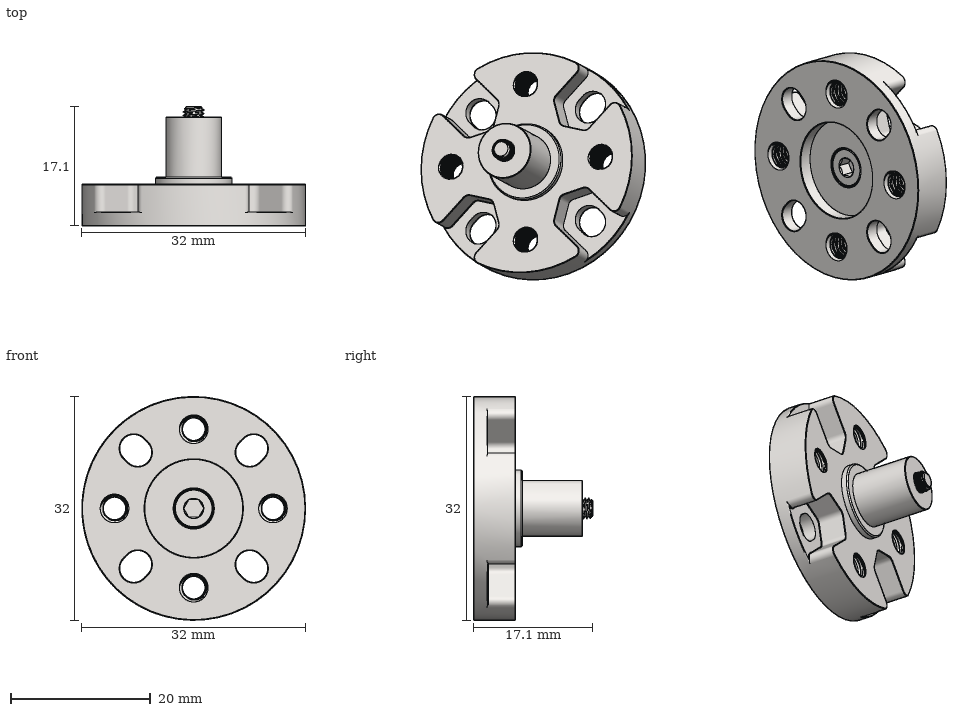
import cadquery as cq
import math

DISC_DIAMETER = 32
DISC_THICKNESS = 6.0
COLLAR_DIAMETER = 11.0
COLLAR_END = 7.0
BOSS_DIAMETER = 8
BOSS_END = 15.6
EDGE_CHAMFER = 0.1
COLLAR_CHAMFER = 0.2
POCKET_DIAMETER = 14.0
POCKET_DEPTH = 2.0

HEAD_DIAMETER = 5.5
HEAD_HEIGHT = 3.0
HEAD_FRONT = 2.1
HEAD_CHAMFER = 0.13
SHANK_DIAMETER = 3.0
SCREW_THREAD_CORE = 2.35
SCREW_THREAD_PITCH = 0.5
SCREW_THREAD_LENGTH = SHANK_DIAMETER
SCREW_THREAD_PHASE = 20
SCREW_END = 17.1
SCREW_TIP_DIAMETER = 2.08
SOCKET_ACROSS_FLATS = 2.5
SOCKET_DEPTH = 2.0
HEAD_SEAT = HEAD_FRONT + HEAD_HEIGHT
COUNTERBORE_DIAMETER = 5.7
SCREW_BORE_DIAMETER = 3.05

TAPPED_RADIUS = 11.33
TAPPED_CORE = 3.3
TAPPED_DIAMETER = 4.0
TAPPED_PITCH = 0.7
TAPPED_PHASE = 0
COUNTERSINK_DIAMETER = 4.1

SLOT_WIDTH = 4.0
SLOT_TRAVEL = 0.8
SLOT_RADIUS = TAPPED_RADIUS + SLOT_TRAVEL / 2
NOTCH_FLOOR = 2.0
NUT_RADIUS = TAPPED_RADIUS
NUT_ACROSS_FLATS = 7.0
NOTCH_ROUNDING = 1.0

DISC_RADIUS = DISC_DIAMETER / 2
AXIS_ANGLES = [0, 90, 180, 270]
DIAGONAL_ANGLES = [45, 135, 225, 315]
CLEARANCE = 0.32
THREAD_FLANK_SLOPE = math.tan(math.radians(30))
FLANK_STEPS = 4


def turned(outline):
    """Revolve an outline of (radius, y) points around the Y axis."""
    return cq.Workplane("XY").polyline(outline).close().revolve(360, (0, 0, 0), (0, 1, 0))


def along_y(shape):
    """Turn a shape built along +Z so that it runs along +Y."""
    return shape.rotate((0, 0, 0), (1, 0, 0), -90)


def threaded_rod(core_diameter, outer_diameter, pitch, length, phase):
    """Right-hand sharp-crested threaded rod along +Y from y = 0: its cross-section, twisted."""
    core = core_diameter / 2
    depth = outer_diameter / 2 - core
    flank_angle = 2 * math.pi * depth * THREAD_FLANK_SLOPE / pitch

    def flank_point(rise, side):
        """Point on a flank, `rise` going from 0 at the core to 1 at the crest."""
        radius = core + depth * rise
        angle = side * flank_angle * (1 - rise)
        return radius * math.cos(angle), radius * math.sin(angle)

    rises = [step / FLANK_STEPS for step in range(FLANK_STEPS + 1)]
    rising_flank = [flank_point(rise, -1) for rise in rises]
    falling_flank = [flank_point(rise, 1) for rise in reversed(rises)]
    rod = (
        cq.Workplane("XY")
        .moveTo(*falling_flank[-1])
        .threePointArc((-core, 0), rising_flank[0])
        .spline(rising_flank[1:], includeCurrent=True)
        .spline(falling_flank[1:], includeCurrent=True)
        .close()
        .twistExtrude(length, 360 * length / pitch)
    )
    return along_y(rod.rotate((0, 0, 0), (0, 0, 1), phase))


def hub_blank():
    """Disc, collar and boss with the front pocket, the head counterbore and the screw bore."""
    disc = DISC_RADIUS
    collar = COLLAR_DIAMETER / 2
    boss = BOSS_DIAMETER / 2
    pocket = POCKET_DIAMETER / 2
    counterbore = COUNTERBORE_DIAMETER / 2
    bore = SCREW_BORE_DIAMETER / 2
    return turned([
        (pocket + EDGE_CHAMFER, 0),
        (disc - EDGE_CHAMFER, 0),
        (disc, EDGE_CHAMFER),
        (disc, DISC_THICKNESS),
        (collar, DISC_THICKNESS),
        (collar, COLLAR_END - COLLAR_CHAMFER),
        (collar - COLLAR_CHAMFER, COLLAR_END),
        (boss, COLLAR_END),
        (boss, BOSS_END - EDGE_CHAMFER),
        (boss - EDGE_CHAMFER, BOSS_END),
        (bore, BOSS_END),
        (bore, HEAD_SEAT),
        (counterbore, HEAD_SEAT),
        (counterbore, POCKET_DEPTH + EDGE_CHAMFER),
        (counterbore + EDGE_CHAMFER, POCKET_DEPTH),
        (pocket, POCKET_DEPTH),
        (pocket, EDGE_CHAMFER),
    ])


def notch_floor_space():
    """Space behind the notch floor, with the floor chamfered where it meets the rim."""
    outside = DISC_RADIUS + 2 * CLEARANCE
    inside = DISC_RADIUS - EDGE_CHAMFER
    back = DISC_THICKNESS + CLEARANCE
    return turned([
        (0, NOTCH_FLOOR),
        (inside, NOTCH_FLOOR),
        (outside, NOTCH_FLOOR - (outside - inside)),
        (outside, back),
        (0, back),
    ])


def notch_cutter():
    """Rim notch on the +X side that holds a hexagon nut, one nut corner pointing inwards.

    The three inner corners are rounded, and the walls run out into the rim through round lips.
    """
    wall = NUT_ACROSS_FLATS / 2
    nut_side = NUT_ACROSS_FLATS / math.sqrt(3)
    apex_u = NUT_RADIUS - nut_side
    corner_u = NUT_RADIUS - nut_side / 2
    lip_v = wall + NOTCH_ROUNDING
    lip_u = math.sqrt((DISC_RADIUS - NOTCH_ROUNDING) ** 2 - lip_v**2)
    lip_angle = math.atan2(lip_v, lip_u)
    rim_u = DISC_RADIUS * math.cos(lip_angle)
    rim_v = DISC_RADIUS * math.sin(lip_angle)
    lip_mid_angle = (lip_angle - math.pi / 2) / 2
    lip_mid_u = lip_u + NOTCH_ROUNDING * math.cos(lip_mid_angle)
    lip_mid_v = lip_v + NOTCH_ROUNDING * math.sin(lip_mid_angle)
    outside = DISC_RADIUS + CLEARANCE
    notch = (
        cq.Workplane("XZ")
        .moveTo(rim_u, -rim_v)
        .threePointArc((lip_mid_u, -lip_mid_v), (lip_u, -wall))
        .lineTo(corner_u, -wall)
        .lineTo(apex_u, 0)
        .lineTo(corner_u, wall)
        .lineTo(lip_u, wall)
        .threePointArc((lip_mid_u, lip_mid_v), (rim_u, rim_v))
        .lineTo(outside, rim_v)
        .lineTo(outside, -rim_v)
        .close()
        .extrude(-(DISC_THICKNESS + CLEARANCE))
    )
    inner_corners = notch.edges("|Y").filter(lambda edge: edge.Center().x < NUT_RADIUS)
    return inner_corners.fillet(NOTCH_ROUNDING).intersect(notch_floor_space())


def slot_cutter():
    """Radial slot on the +X side, through the notch floor, chamfered at the front face."""
    front = cq.Workplane("XZ").center(SLOT_RADIUS, 0)
    slot = front.slot2D(SLOT_WIDTH + SLOT_TRAVEL, SLOT_WIDTH).extrude(-(NOTCH_FLOOR + CLEARANCE))
    mouth_width = SLOT_WIDTH + 2 * EDGE_CHAMFER
    mouth = (
        front.slot2D(mouth_width + SLOT_TRAVEL, mouth_width)
        .extrude(-EDGE_CHAMFER, taper=45)
    )
    return slot.union(mouth)


def tapped_hole_cutter():
    """Thread of a tapped through hole around the Y axis."""
    length = DISC_THICKNESS + 2 * CLEARANCE
    rod = threaded_rod(TAPPED_CORE, TAPPED_DIAMETER, TAPPED_PITCH, length, TAPPED_PHASE)
    return rod.translate((0, -CLEARANCE, 0))


def countersink_cutter():
    """45 degree countersink around the Y axis at the front face."""
    sink = COUNTERSINK_DIAMETER / 2
    return turned([(0, 0), (sink, 0), (0, sink)])


def at_polar(shape, radius, angle):
    """Move a shape in the XZ plane without turning it."""
    turn = math.radians(angle)
    return shape.translate((radius * math.cos(turn), 0, radius * math.sin(turn)))


def make_hub():
    hub = hub_blank()
    notch = notch_cutter()
    for angle in DIAGONAL_ANGLES:
        hub = hub.cut(notch.rotate((0, 0, 0), (0, 1, 0), angle))
    hub = hub.faces(cq.selectors.NearestToPointSelector((TAPPED_RADIUS, DISC_THICKNESS, 0)))
    hub = hub.wires(cq.selectors.LengthNthSelector(-1)).chamfer(EDGE_CHAMFER)
    slot = slot_cutter()
    for angle in DIAGONAL_ANGLES:
        hub = hub.cut(slot.rotate((0, 0, 0), (0, 1, 0), angle))
    tapped_hole = tapped_hole_cutter()
    countersink = countersink_cutter()
    for angle in AXIS_ANGLES:
        hub = hub.cut(at_polar(tapped_hole, TAPPED_RADIUS, angle))
        hub = hub.cut(at_polar(countersink, TAPPED_RADIUS, angle))
    return hub


def socket_cutter():
    """Hexagon socket with a countersunk mouth that reaches its corners."""
    flat = SOCKET_ACROSS_FLATS / 2
    corner = flat / math.cos(math.radians(30))
    mouth_depth = corner - flat
    hexagon = cq.Workplane("XZ", origin=(0, HEAD_FRONT, 0)).polygon(6, 2 * corner).extrude(-SOCKET_DEPTH)
    mouth = turned([
        (0, HEAD_FRONT),
        (corner, HEAD_FRONT),
        (flat, HEAD_FRONT + mouth_depth),
        (0, HEAD_FRONT + mouth_depth),
    ])
    return hexagon.union(mouth)


def screw_thread():
    """Threaded end of the screw, trimmed to a 45 degree cone at the tip."""
    tip = SCREW_TIP_DIAMETER / 2
    outside = SHANK_DIAMETER / 2 + CLEARANCE
    start = SCREW_END - SCREW_THREAD_LENGTH
    rod = threaded_rod(
        SCREW_THREAD_CORE, SHANK_DIAMETER, SCREW_THREAD_PITCH, SCREW_THREAD_LENGTH, SCREW_THREAD_PHASE
    ).translate((0, start, 0))
    tip_trim = turned([
        (outside, SCREW_END - (outside - tip)),
        (tip, SCREW_END),
        (tip, SCREW_END + CLEARANCE),
        (outside, SCREW_END + CLEARANCE),
    ])
    return rod.cut(tip_trim)


def make_screw():
    head = HEAD_DIAMETER / 2
    shank = SHANK_DIAMETER / 2
    thread_start = SCREW_END - SCREW_THREAD_LENGTH
    body = turned([
        (0, HEAD_FRONT),
        (head - HEAD_CHAMFER, HEAD_FRONT),
        (head, HEAD_FRONT + HEAD_CHAMFER),
        (head, HEAD_SEAT),
        (shank, HEAD_SEAT),
        (shank, thread_start),
        (0, thread_start),
    ])
    return body.cut(socket_cutter()).union(screw_thread())


hub = make_hub()
screw = make_screw()
result = cq.Compound.makeCompound([hub.val(), screw.val()])